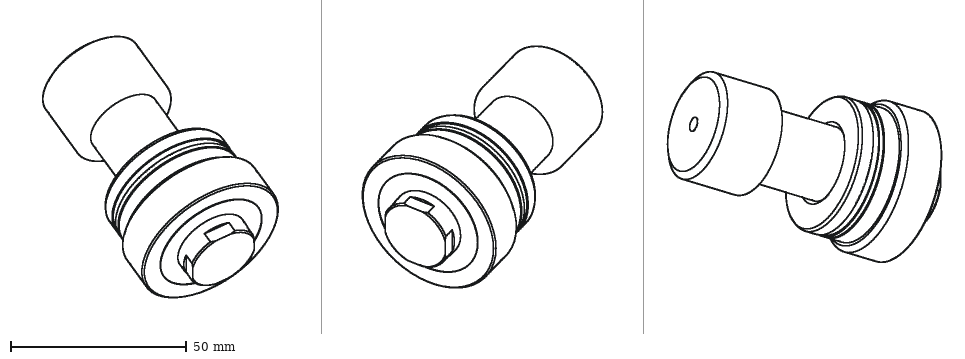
import cadquery as cq
import math


length = 77.0
head_radius = 15.95
head_length = 20.3
head_chamfer_length = 1.5
head_chamfer_depth = 2.0
head_fillet = 1.0
shaft_radius = 11.0
shaft_end = 73.15
taper_length = 1.0
drive_radius = 10.85
drive_half_width = 10.1
drive_chamfer_length = 0.5
drive_chamfer_depth = 0.5

countersink_radius = 2.1
pilot_radius = 1.1
countersink_angle = 60.0
pilot_depth = 3.85
drill_point_angle = 120.0

bush_start = 43.35
bush_radius = 20.0
bush_chamfer_length = 1.0
bush_chamfer_depth = 0.55
seal_groove_start = 48.05
seal_groove_width = 2.1
seal_groove_depth = 0.5
line_groove_start = 51.5
line_groove_width = 0.3
line_groove_depth = 0.15
flange_start = 56.8
flange_end = 69.85
flange_radius = 22.5
flange_front_chamfer = 1.55
flange_back_chamfer_length = 0.5
flange_back_chamfer_depth = 0.55
boss_radius = 16.7
boss_height = 0.2
bore_chamfer = 1.15


def disc(start, end, radius):
    """Solid cylinder along X between two stations."""
    return cq.Workplane("YZ", origin=(start, 0, 0)).circle(radius).extrude(end - start)


def groove(start, width, depth):
    """Ring that cuts a groove of the given depth into the bush's outer surface."""
    blank = disc(start, start + width, flange_radius)
    return blank.cut(disc(start, start + width, bush_radius - depth))


def revolve_profile(points):
    """Solid of revolution about X from (x, radius) points."""
    return cq.Workplane("XY").polyline(points).close().revolve(360, (0, 0, 0), (1, 0, 0))


def centre_hole():
    """Countersink leading into a blind pilot hole with a conical bottom."""
    half_angle = math.radians(countersink_angle / 2)
    countersink_depth = (countersink_radius - pilot_radius) / math.tan(half_angle)
    drill_point_length = pilot_radius / math.tan(math.radians(drill_point_angle / 2))
    return revolve_profile([
        (0, 0),
        (0, countersink_radius),
        (countersink_depth, pilot_radius),
        (pilot_depth, pilot_radius),
        (pilot_depth + drill_point_length, 0),
    ])


def drive_square():
    """Square end with rounded corners and a chamfered rim."""
    round_end = revolve_profile([
        (shaft_end, 0),
        (shaft_end, drive_radius),
        (length - drive_chamfer_length, drive_radius),
        (length, drive_radius - drive_chamfer_depth),
        (length, 0),
    ])
    square = cq.Workplane("YZ", origin=(shaft_end, 0, 0)).rect(2 * drive_half_width, 2 * drive_half_width)
    return round_end.intersect(square.extrude(length - shaft_end))


def make_plunger():
    """Chamfered head and slim shaft ending in the drive square."""
    head = revolve_profile([
        (0, 0),
        (0, head_radius - head_chamfer_depth),
        (head_chamfer_length, head_radius),
        (head_length, head_radius),
        (head_length, 0),
    ])
    head = head.faces(">X").edges().fillet(head_fillet)
    shaft = revolve_profile([
        (head_length, 0),
        (head_length, shaft_radius),
        (shaft_end - taper_length, shaft_radius),
        (shaft_end, drive_radius),
        (shaft_end, 0),
    ])
    return head.union(shaft).union(drive_square()).cut(centre_hole())


def make_bush():
    """Flanged, grooved bush that guides the shaft."""
    bush = revolve_profile([
        (bush_start, 0),
        (bush_start, bush_radius - bush_chamfer_depth),
        (bush_start + bush_chamfer_length, bush_radius),
        (flange_start, bush_radius),
        (flange_start, flange_radius - flange_front_chamfer),
        (flange_start + flange_front_chamfer, flange_radius),
        (flange_end - flange_back_chamfer_length, flange_radius),
        (flange_end, flange_radius - flange_back_chamfer_depth),
        (flange_end, boss_radius),
        (flange_end + boss_height, boss_radius),
        (flange_end + boss_height, 0),
    ])
    bush = bush.cut(groove(seal_groove_start, seal_groove_width, seal_groove_depth))
    bush = bush.cut(groove(line_groove_start, line_groove_width, line_groove_depth))
    bush = bush.cut(disc(bush_start, flange_end + boss_height, shaft_radius))
    bore_chamfer_cone = revolve_profile([
        (bush_start, 0),
        (bush_start, shaft_radius + bore_chamfer),
        (bush_start + bore_chamfer, shaft_radius),
        (bush_start + bore_chamfer, 0),
    ])
    return bush.cut(bore_chamfer_cone)


plunger = make_plunger()
bush = make_bush()

result = cq.Compound.makeCompound([plunger.val(), bush.val()])